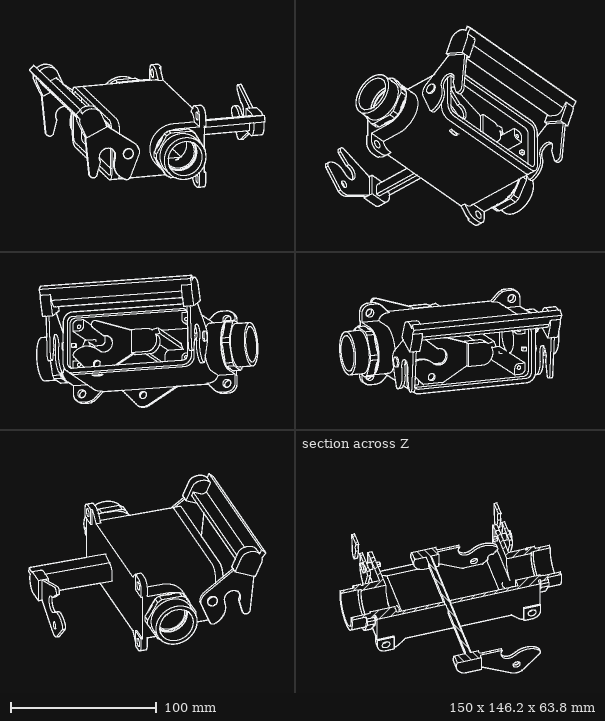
import cadquery as cq
import math


half_width = 46.4
half_height = 21.5
corner_radius = 6.9
wall = 3.2
floor_wall = 3.3
back_y = -1.0
front_y = -63.8
frame_depth = 5.5
frame_back_y = front_y + frame_depth
inner_half_width = half_width - wall
inner_half_height = half_height - floor_wall
inner_radius = 3.6

flange_front_y = -4.5
foot_radius = 6.0
foot_hole_x = 52.4
foot_hole_z = 22.5
foot_hole_diameter = 5.5
foot_tip_z = foot_hole_z + foot_radius
foot_tip_inner_x = 48.5
foot_blend_radius = 8.1

flange_half_width = foot_hole_x + foot_radius
gland_y = -20.0
boss_radius = 16.5
neck_diameter = 31.0
hex_across_flats = 32.1
hex_across_cut_corners = 35.1
hex_inner_x = 59.5
hex_outer_x = 65.0
tube_diameter = 30.0
tube_end_x = 75.0
tube_bore_diameter = 24.3
tube_bore_bottom_x = 62.7
step_bore_diameter = 23.7
step_bore_bottom_x = 60.9
entry_bore_diameter = 21.8

post_width = 7.6
post_front_y = -52.2
post_edge_radius = 3.0
post_hole_x = 38.7
post_hole_z = 13.4
post_hole_diameter = 2.4
post_hole_depth = 7.5

pin_y = -53.8
pin_diameter = 5.0
pin_head_diameter = 7.0
pin_head_outer_x = 53.1
wall_key_width = 2.2
wall_key_inner_x = 40.5

lever_length = 109.2
grip_end_width = 7.4
plate_thickness = 2.2
plate_inset = 2.5
plate_outer_x = lever_length / 2 - plate_inset
joint_along = 26.0
lever_axis = 13.6
grip_half_height = 8.1
grip_low = lever_axis - grip_half_height
grip_high = lever_axis + grip_half_height
lip_inner = (46.5, 17.4)
lip_outer = (45.0, 21.6)
hook_center_along = 5.4
hook_radius = 5.8
hook_rise = 13.8
pivot_end_radius = 8.2
bar_back_along = 30.6
bar_bottom = 8.0
curl_radius = 5.7
inner_curl_radius = 4.2
bar_wall = 2.8
bar_lip_corner = (37.0, 19.6)
grip_low_start_along = 37.0
grip_low_bend = (39.9, 6.3)
grip_end_corner = (42.2, 8.4)
grip_end_bulge = (44.1, 13.4)
grip_end_top = (43.2, lip_inner[1])
lip_root = (41.0, 20.2)
grip_high_bend = (39.2, 21.3)
grip_high_end_along = 37.0
arm_tip_outer = (-0.6, 30.6)
arm_tip_middle = (-3.5, 29.4)
arm_tip_inner = (-3.6, 26.2)
hump_start = (-1.4, 11.4)
hump_top = (-7.4, 13.0)
hump_end = (-15.9, 9.6)
nose_middle = (-17.0, 8.0)
nose_end = (-16.6, 6.0)
hook_start_angle = math.radians(98)
hook_end_angle = math.radians(233)
pivot_end_start_angle = math.radians(243.5)
pivot_end_middle_angle = math.radians(270)
pivot_end_end_angle = math.radians(296)
locked_angle = math.radians(114.3)
loose_lever_pivot = (-25.8, -13.6)
loose_lever_back_y = 54.2


def rounded_block(half_x, half_z, radius, y_from, y_to):
    """Block along Y with its four long edges rounded."""
    return (
        cq.Workplane("XZ", origin=(0, y_from, 0))
        .rect(2 * half_x, 2 * half_z)
        .extrude(y_from - y_to)
        .edges("|Y")
        .fillet(radius)
    )


def x_cylinder(diameter, y, x_from, x_to):
    """Cylinder along X at height z = 0."""
    return cq.Workplane("YZ", origin=(x_from, y, 0)).circle(diameter / 2).extrude(x_to - x_from)


def in_four_corners(shape):
    """The shape and its mirror images in the planes x = 0 and z = 0."""
    pair = shape.union(shape.mirror("YZ"))
    return pair.union(pair.mirror("XY"))


def foot():
    """Mounting ear in the +X, +Z corner, with a raised pad on its back."""
    diagonal = math.sqrt(0.5)
    blend_x = foot_tip_inner_x - foot_blend_radius * diagonal
    blend_z = foot_tip_z - foot_blend_radius * (1 - diagonal)
    blend_mid = (
        foot_tip_inner_x - foot_blend_radius * math.sin(math.pi / 8),
        foot_tip_z - foot_blend_radius * (1 - math.cos(math.pi / 8)),
    )
    outline = (
        cq.Workplane("XZ")
        .moveTo(flange_half_width, boss_radius)
        .lineTo(flange_half_width, foot_hole_z)
        .threePointArc(
            (foot_hole_x + foot_radius * diagonal, foot_hole_z + foot_radius * diagonal),
            (foot_hole_x, foot_tip_z),
        )
        .lineTo(foot_tip_inner_x, foot_tip_z)
        .threePointArc(blend_mid, (blend_x, blend_z))
        .lineTo(blend_x - (blend_z - boss_radius), boss_radius)
        .close()
    )
    ear = outline.extrude(-flange_front_y)
    inner_relief = (
        cq.Workplane("XY")
        .box(half_width, -back_y, foot_tip_z, centered=False)
        .translate((0, back_y, 0))
    )
    hole = (
        cq.Workplane("XZ")
        .center(foot_hole_x, foot_hole_z)
        .circle(foot_hole_diameter / 2)
        .extrude(-flange_front_y)
    )
    return ear.cut(inner_relief).cut(hole)


def screw_post():
    """Post in the +X, +Z corner of the cavity."""
    post_back_y = back_y - wall
    post_length = post_back_y - post_front_y
    inner_x = inner_half_width - post_width
    inner_z = inner_half_height - post_width
    post = (
        cq.Workplane("XY")
        .box(half_width - inner_x, post_length, half_height - inner_z, centered=False)
        .edges("|Y and <X and <Z")
        .fillet(post_edge_radius)
        .translate((inner_x, post_front_y, inner_z))
    )
    hole = (
        cq.Workplane("XZ", origin=(0, post_front_y + post_hole_depth, 0))
        .center(post_hole_x, post_hole_z)
        .circle(post_hole_diameter / 2)
        .extrude(post_hole_depth)
    )
    outer_shape = rounded_block(half_width, half_height, corner_radius, back_y, front_y)
    return post.intersect(outer_shape).cut(hole)


def gland_hexagon():
    """Hexagon with flats at top and bottom and its six corners cut off flat."""

    def prism(across_flats):
        across_corners = across_flats / math.cos(math.pi / 6)
        return (
            cq.Workplane("YZ", origin=(hex_inner_x, gland_y, 0))
            .polygon(6, across_corners)
            .extrude(hex_outer_x - hex_inner_x)
        )

    half_step = 30
    corner_cutter = prism(hex_across_cut_corners).rotate((0, gland_y, 0), (1, gland_y, 0), half_step)
    return prism(hex_across_flats).intersect(corner_cutter)


def cable_entry():
    """Boss and gland on the +X side, still without their bore."""
    boss_depth = back_y - gland_y
    boss_length = flange_half_width - inner_half_width
    boss_foot = (
        cq.Workplane("XY")
        .box(boss_length, boss_depth, 2 * boss_radius, centered=(False, False, True))
        .translate((inner_half_width, gland_y, 0))
    )
    boss = x_cylinder(2 * boss_radius, gland_y, inner_half_width, flange_half_width)
    neck = x_cylinder(neck_diameter, gland_y, flange_half_width, hex_inner_x)
    tube = x_cylinder(tube_diameter, gland_y, hex_inner_x, tube_end_x)
    return boss_foot.union(boss).union(neck).union(gland_hexagon()).union(tube)


def pivot_pin():
    """Headed pin on the +X side."""
    shaft = x_cylinder(pin_diameter, pin_y, half_width - wall / 2, plate_outer_x)
    head = x_cylinder(pin_head_diameter, pin_y, plate_outer_x, pin_head_outer_x)
    return shaft.union(head)


def wall_key():
    """Small square block on the inside of the +X wall, in line with the pivot pin."""
    return (
        cq.Workplane("YZ", origin=(wall_key_inner_x, pin_y, 0))
        .rect(wall_key_width, wall_key_width)
        .extrude(half_width - wall / 2 - wall_key_inner_x)
    )


def make_housing():
    """Box open at the front, with feet, posts, cable entries and pivot pins."""
    body = rounded_block(half_width, half_height, corner_radius, back_y, frame_back_y)
    entry = cable_entry()
    body = body.union(entry).union(entry.mirror("YZ")).union(in_four_corners(foot()))
    body = body.cut(
        rounded_block(inner_half_width, inner_half_height, inner_radius, back_y - wall, frame_back_y)
    )
    body = body.union(in_four_corners(screw_post()))
    body = body.cut(x_cylinder(entry_bore_diameter, gland_y, -tube_end_x, tube_end_x))
    tube_bore = x_cylinder(tube_bore_diameter, gland_y, tube_bore_bottom_x, tube_end_x)
    step_bore = x_cylinder(step_bore_diameter, gland_y, step_bore_bottom_x, tube_bore_bottom_x)
    tube_bore = tube_bore.union(step_bore)
    body = body.cut(tube_bore).cut(tube_bore.mirror("YZ"))
    pin = pivot_pin().union(wall_key())
    return body.union(pin).union(pin.mirror("YZ"))


def make_front_frame():
    """Ring that closes the rim of the housing."""
    opening = rounded_block(
        inner_half_width, inner_half_height, inner_radius, frame_back_y, front_y
    )
    return rounded_block(half_width, half_height, corner_radius, frame_back_y, front_y).cut(opening)


def lever_plate(plane):
    """Side plate with its pivot hole, hook and pointed arm."""

    def on_hook(angle):
        return (
            hook_center_along + hook_radius * math.cos(angle),
            hook_rise + hook_radius * math.sin(angle),
        )

    def on_pivot_end(angle):
        return (pivot_end_radius * math.cos(angle), pivot_end_radius * math.sin(angle))

    return (
        cq.Workplane(plane)
        .moveTo(joint_along, grip_low)
        .lineTo(joint_along, grip_high)
        .lineTo(*arm_tip_outer)
        .threePointArc(arm_tip_middle, arm_tip_inner)
        .lineTo(*on_hook(hook_start_angle))
        .threePointArc(on_hook(0), on_hook(hook_end_angle))
        .lineTo(*hump_start)
        .threePointArc(hump_top, hump_end)
        .threePointArc(nose_middle, nose_end)
        .lineTo(*on_pivot_end(pivot_end_start_angle))
        .threePointArc(on_pivot_end(pivot_end_middle_angle), on_pivot_end(pivot_end_end_angle))
        .close()
        .moveTo(0, 0)
        .circle(pin_diameter / 2)
        .extrude(plate_thickness)
    )


def grip_end(plane):
    """Thick end of the grip, outlined like the bar's lip with a rounded lower corner."""
    return (
        cq.Workplane(plane)
        .moveTo(joint_along, grip_low)
        .lineTo(grip_low_start_along, grip_low)
        .threePointArc(grip_low_bend, grip_end_corner)
        .threePointArc(grip_end_bulge, grip_end_top)
        .lineTo(*lip_inner)
        .lineTo(*lip_outer)
        .lineTo(*lip_root)
        .threePointArc(grip_high_bend, (grip_high_end_along, grip_high))
        .lineTo(joint_along, grip_high)
        .close()
        .extrude(grip_end_width)
    )


def grip_bar(plane):
    """Curled bar that joins both ends and carries the lip."""
    diagonal = math.sqrt(0.5)
    curl_along = bar_back_along + curl_radius
    inner_along = bar_back_along + bar_wall
    inner_rise = lip_inner[1] - lever_axis
    inner_end = inner_along + inner_curl_radius - math.sqrt(inner_curl_radius**2 - inner_rise**2)
    return (
        cq.Workplane(plane)
        .moveTo(bar_back_along, bar_bottom)
        .lineTo(inner_along, bar_bottom)
        .lineTo(inner_along, lever_axis)
        .radiusArc((inner_end, lip_inner[1]), inner_curl_radius)
        .lineTo(*lip_inner)
        .lineTo(*lip_outer)
        .lineTo(*bar_lip_corner)
        .lineTo(curl_along, lever_axis + curl_radius)
        .threePointArc(
            (curl_along - curl_radius * diagonal, lever_axis + curl_radius * diagonal),
            (bar_back_along, lever_axis),
        )
        .close()
        .extrude(lever_length)
    )


def make_lever(pivot, along, across_normal):
    """Lever with its pivot at the middle of its length."""

    def plane_at(offset):
        middle = cq.Plane(origin=pivot, xDir=along, normal=across_normal)
        return cq.Plane(origin=middle.toWorldCoords((0, 0, offset)), xDir=along, normal=across_normal)

    end = lever_length / 2
    lever = grip_bar(plane_at(-end))
    for offset in (-end, end - grip_end_width):
        lever = lever.union(grip_end(plane_at(offset)))
    for offset in (-plate_outer_x, plate_outer_x - plate_thickness):
        lever = lever.union(lever_plate(plane_at(offset)))
    return lever


lever_placements = [
    ((0, pin_y, 0), (0, math.cos(locked_angle), math.sin(locked_angle)), (1, 0, 0)),
    (
        (loose_lever_pivot[0], loose_lever_back_y - lever_length / 2, loose_lever_pivot[1]),
        (1, 0, 0),
        (0, -1, 0),
    ),
]
levers = [make_lever(*placement) for placement in lever_placements]

housing = make_housing().cut(levers[1])
front_frame = make_front_frame()

result = cq.Compound.makeCompound(
    [
        housing.solids().val(),
        front_frame.solids().val(),
        *[lever.solids().val() for lever in levers],
    ]
)